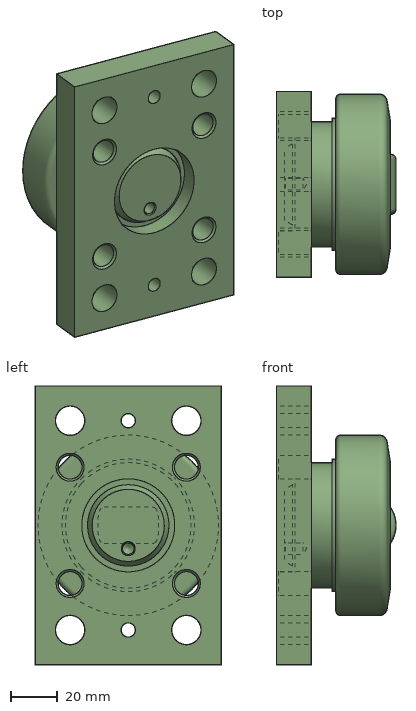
import cadquery as cq
import math

PLATE_THICKNESS = 15.0
PLATE_WIDTH = 80.0
PLATE_HEIGHT = 120.0

HOLE_SPACING_Y = 50.0
BOLT_SPACING_Z = 90.0
TAPPED_SPACING_Z = 50.0
BOLT_HOLE_DIA = 12.5
DOWEL_HOLE_DIA = 6.0
TAP_DRILL_DIA = 10.2
TAP_MOUTH_DIA = 12.0
TAP_CHAMFER = (TAP_MOUTH_DIA - TAP_DRILL_DIA) / 2

RECESS_DIA = 40.0
RECESS_DEPTH = 8.0
PIN_DIA = 35.0
PIN_CHAMFER_ANGLE = math.radians(30)
PIN_FACE_DIA = 31.0
PIN_CHAMFER_LENGTH = (PIN_DIA - PIN_FACE_DIA) / 2 / math.tan(PIN_CHAMFER_ANGLE)
PIN_FACE_X = 3.5
PIN_HOLE_Z = -10.0
PIN_HOLE_DIA = 5.0
PIN_HOLE_DEPTH = 8.0
PIN_HOLE_MOUTH_DIA = 6.0
PIN_HOLE_CHAMFER = (PIN_HOLE_MOUTH_DIA - PIN_HOLE_DIA) / 2
PIN_HOLE_TIP_ANGLE = math.radians(118)
PIN_HOLE_TIP_HEIGHT = PIN_HOLE_DIA / 2 / math.tan(PIN_HOLE_TIP_ANGLE / 2)

NECK_RADIUS = 27.0
COLLAR_RADIUS = 28.5
COLLAR_X = 24.0
WHEEL_RADIUS = 38.85
WHEEL_BACK_X = 25.5
BACK_FILLET = 2.2
SHOULDER_X = 44.2
SHOULDER_FILLET = 3.5
FRONT_CONE_ANGLE = math.radians(9.2)
FRONT_FACE_RADIUS = 27.5

ROLLER_TIP_X = 51.5
ROLLER_RADIUS = 13.5
ROLLER_LENGTH = 26.0
ROLLER_FILLET = 2.5


def rod(radius, start_x, end_x, y=0.0, z=0.0):
    """Round bar parallel to X."""
    axis_start = cq.Vector(start_x, y, z)
    return cq.Workplane(cq.Solid.makeCylinder(radius, end_x - start_x, axis_start, cq.Vector(1, 0, 0)))


def cone(start_radius, end_radius, start_x, end_x, y=0.0, z=0.0):
    """Cone or cone frustum parallel to X."""
    axis_start = cq.Vector(start_x, y, z)
    axis = cq.Vector(1, 0, 0)
    return cq.Workplane(cq.Solid.makeCone(start_radius, end_radius, end_x - start_x, axis_start, axis))


def make_plate():
    plate = cq.Workplane("XY").box(
        PLATE_THICKNESS, PLATE_WIDTH, PLATE_HEIGHT, centered=(False, True, True)
    )
    for side_z in (-1, 1):
        bolt_z = side_z * BOLT_SPACING_Z / 2
        tapped_z = side_z * TAPPED_SPACING_Z / 2
        plate = plate.cut(rod(DOWEL_HOLE_DIA / 2, 0, PLATE_THICKNESS, 0, bolt_z))
        for side_y in (-1, 1):
            y = side_y * HOLE_SPACING_Y / 2
            plate = plate.cut(rod(BOLT_HOLE_DIA / 2, 0, PLATE_THICKNESS, y, bolt_z))
            plate = plate.cut(rod(TAP_DRILL_DIA / 2, 0, PLATE_THICKNESS, y, tapped_z))
            plate = plate.cut(cone(TAP_MOUTH_DIA / 2, TAP_DRILL_DIA / 2, 0, TAP_CHAMFER, y, tapped_z))
    return plate.cut(rod(RECESS_DIA / 2, 0, RECESS_DEPTH))


def make_pin_end():
    chamfer_end_x = PIN_FACE_X + PIN_CHAMFER_LENGTH
    chamfer = cone(PIN_FACE_DIA / 2, PIN_DIA / 2, PIN_FACE_X, chamfer_end_x)
    return chamfer.union(rod(PIN_DIA / 2, chamfer_end_x, PLATE_THICKNESS))


def make_pin_hole():
    bottom_x = PIN_FACE_X + PIN_HOLE_DEPTH
    radius = PIN_HOLE_DIA / 2
    drill = rod(radius, PIN_FACE_X, bottom_x, z=PIN_HOLE_Z)
    tip = cone(radius, 0, bottom_x, bottom_x + PIN_HOLE_TIP_HEIGHT, z=PIN_HOLE_Z)
    mouth_end_x = PIN_FACE_X + PIN_HOLE_CHAMFER
    mouth = cone(PIN_HOLE_MOUTH_DIA / 2, radius, PIN_FACE_X, mouth_end_x, z=PIN_HOLE_Z)
    return drill.union(tip).union(mouth)


def arc_point(centre_x, fillet, angle):
    """Point on a rim fillet that meets the wheel rim; angle is measured from +X."""
    centre_radius = WHEEL_RADIUS - fillet
    return (centre_x + fillet * math.cos(angle), centre_radius + fillet * math.sin(angle))


def make_wheel():
    """Turned wheel: half profile in XY, revolved about X."""
    back_fillet_mid = arc_point(WHEEL_BACK_X + BACK_FILLET, BACK_FILLET, math.radians(135))
    shoulder_mid = arc_point(SHOULDER_X, SHOULDER_FILLET, math.radians(45))
    shoulder_end = arc_point(SHOULDER_X, SHOULDER_FILLET, FRONT_CONE_ANGLE)
    cone_start_x, cone_start_radius = shoulder_end
    front_x = cone_start_x + (cone_start_radius - FRONT_FACE_RADIUS) * math.tan(FRONT_CONE_ANGLE)
    profile = (
        cq.Workplane("XY")
        .moveTo(PLATE_THICKNESS, 0)
        .lineTo(PLATE_THICKNESS, NECK_RADIUS)
        .lineTo(COLLAR_X, NECK_RADIUS)
        .lineTo(COLLAR_X, COLLAR_RADIUS)
        .lineTo(WHEEL_BACK_X, COLLAR_RADIUS)
        .lineTo(WHEEL_BACK_X, WHEEL_RADIUS - BACK_FILLET)
        .threePointArc(back_fillet_mid, (WHEEL_BACK_X + BACK_FILLET, WHEEL_RADIUS))
        .lineTo(SHOULDER_X, WHEEL_RADIUS)
        .threePointArc(shoulder_mid, shoulder_end)
        .lineTo(front_x, FRONT_FACE_RADIUS)
        .lineTo(front_x, 0)
        .close()
    )
    return profile.revolve(360, (0, 0, 0), (1, 0, 0))


def make_roller():
    roller = cq.Workplane("XZ").circle(ROLLER_RADIUS).extrude(ROLLER_LENGTH / 2, both=True)
    roller = roller.edges("%CIRCLE").fillet(ROLLER_FILLET)
    return roller.translate((ROLLER_TIP_X - ROLLER_RADIUS, 0, 0))


body = make_plate().union(make_pin_end()).union(make_wheel()).union(make_roller())
result = body.cut(make_pin_hole())